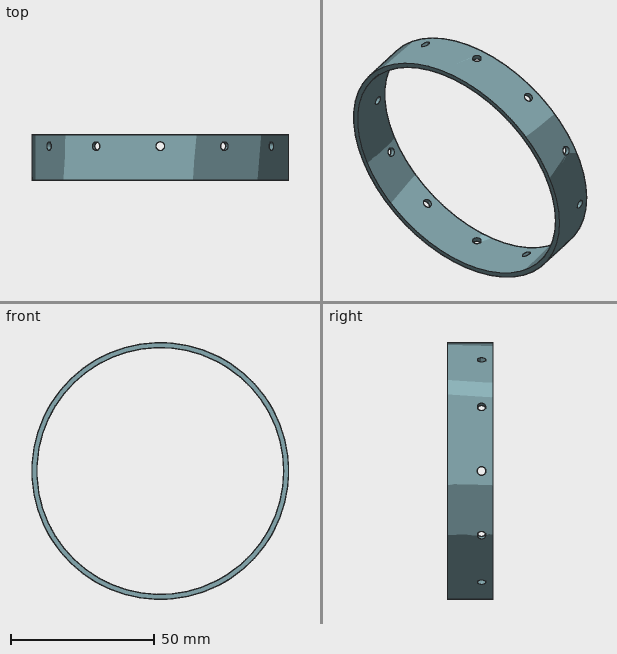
import cadquery as cq

outer_diameter = 89.8
wall = 1.8
width = 16.0

hole_count = 12
hole_diameter = 3.0
hole_edge_distance = 4.0

outer_radius = outer_diameter / 2
hole_y = width / 2 - hole_edge_distance


def make_ring():
    """Plain thin-walled ring centred on the origin."""
    return (
        cq.Workplane("XZ", origin=(0, width / 2, 0))
        .circle(outer_radius)
        .circle(outer_radius - wall)
        .extrude(width)
    )


def make_hole_pair(angle):
    """Cylinder across the full diameter, cutting two opposite holes."""
    return (
        cq.Workplane("XY")
        .center(0, hole_y)
        .circle(hole_diameter / 2)
        .extrude(outer_diameter, both=True)
        .rotate((0, 0, 0), (0, 1, 0), angle)
    )


result = make_ring()
for index in range(hole_count // 2):
    result = result.cut(make_hole_pair(index * 360 / hole_count))